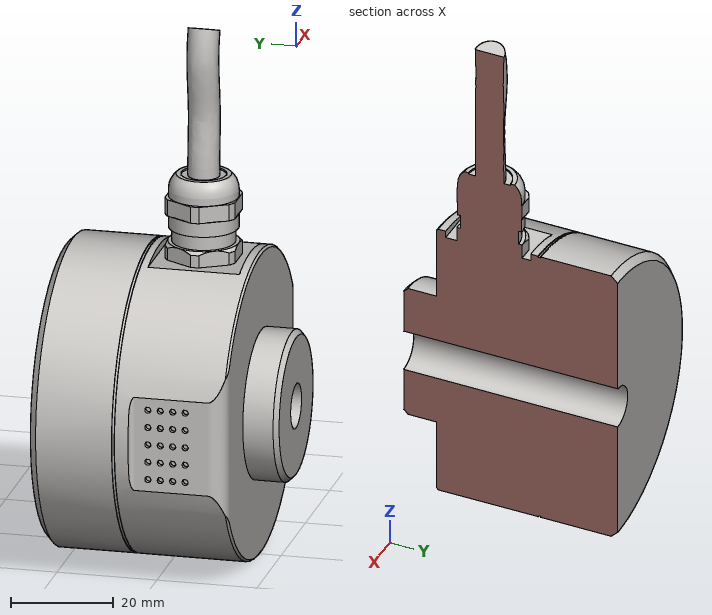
import cadquery as cq
import math


body_diameter = 62.0
body_radius = body_diameter / 2
body_depth = 39.0
rear_chamfer = 1.4
front_chamfer = 0.4

cover_depth = 16.8
groove_width = 0.5
groove_depth = 0.2

boss_diameter = 30.0
boss_height = 7.0
boss_chamfer = 1.0
bore_diameter = 9.0

flat_distance = 29.5
flat_rear_y = 19.1
flat_rear_radius = 1.0
flat_front_radius = 3.6

vent_diameter = 1.2
vent_depth = 1.0
vent_columns = 4
vent_rows = 5
vent_column_pitch = 2.5
vent_row_pitch = 3.6
vent_center_y = 11.8

seat_front_y = 2.0
seat_length = 18.3
gland_y = 11.5
hex_across_flats = 14
hex_corner_diameter = 15.3
base_hex_height = 3.1
base_hex_chamfer = 0.6
neck_diameter = 12.5
neck_height = 2.9
collar_diameter = 13.8
collar_height = 3.0
cap_hex_height = 3.3
cap_rim_height = 1.4
dome_height = 3.0
dome_top_diameter = 10.8
recess_diameter = 9.0
recess_depth = 0.3

neck_z = flat_distance + base_hex_height
collar_z = neck_z + neck_height
cap_hex_z = collar_z + collar_height
cap_rim_z = cap_hex_z + cap_hex_height
dome_z = cap_rim_z + cap_rim_height
gland_top_z = dome_z + dome_height

cable_diameter = 6.3
cable_straight = 1.9
cable_tip_z = 77.0
cable_end_tilt = 20
cable_right_bend = (0.4, 10.8)
cable_left_bend = (-0.8, 22.1)
cable_end_x = 0.2


def y_cylinder(diameter, y_start, length):
    """Cylinder on the body axis, running from y_start toward +Y."""
    return cq.Workplane("XZ", origin=(0, y_start, 0)).circle(diameter / 2).extrude(-length)


def z_cylinder(diameter, z_start, height):
    """Cylinder on the gland axis, running from z_start upward."""
    return cq.Workplane("XY", origin=(0, gland_y, z_start)).circle(diameter / 2).extrude(height)


def make_housing():
    body = y_cylinder(body_diameter, 0, body_depth)
    body = body.faces(">Y").chamfer(rear_chamfer)
    body = body.faces("<Y").chamfer(front_chamfer)

    boss = y_cylinder(boss_diameter, -boss_height, boss_height)
    boss = boss.faces("<Y").chamfer(boss_chamfer)

    groove_y = body_depth - cover_depth - groove_width / 2
    groove = y_cylinder(body_diameter, groove_y, groove_width)
    groove = groove.cut(y_cylinder(body_diameter - 2 * groove_depth, groove_y, groove_width))
    return body.cut(groove).union(boss)


def make_flat_cutter():
    """Material removed at +X: a flat with a concave rear corner and a rounded front edge."""
    diagonal = math.sqrt(0.5)
    rear_center = (flat_distance + flat_rear_radius, flat_rear_y - flat_rear_radius)
    rear_middle = (
        rear_center[0] - flat_rear_radius * diagonal,
        rear_center[1] + flat_rear_radius * diagonal,
    )
    front_center = (flat_distance - flat_front_radius, flat_front_radius)
    front_middle = (
        front_center[0] + flat_front_radius * diagonal,
        front_center[1] - flat_front_radius * diagonal,
    )
    return (
        cq.Workplane("XY")
        .moveTo(body_radius, flat_rear_y)
        .lineTo(rear_center[0], flat_rear_y)
        .threePointArc(rear_middle, (flat_distance, rear_center[1]))
        .lineTo(flat_distance, flat_front_radius)
        .threePointArc(front_middle, (front_center[0], 0))
        .lineTo(body_radius, 0)
        .close()
        .extrude(body_radius, both=True)
    )


def make_vents():
    return (
        cq.Workplane("YZ", origin=(-flat_distance, vent_center_y, 0))
        .rarray(vent_column_pitch, vent_row_pitch, vent_columns, vent_rows)
        .circle(vent_diameter / 2)
        .extrude(vent_depth)
    )


def make_seat_cutter():
    """Rectangular seat milled into the top of the body for the gland."""
    seat_depth = body_radius - flat_distance
    seat = cq.Workplane("XY").box(body_diameter, seat_length, seat_depth, centered=(True, False, False))
    return seat.translate((0, seat_front_y, flat_distance))


def hex_section(z_start, height, top_chamfer=0):
    """Hexagon with corners along X, its corners turned down to a round blank."""
    circumscribed = hex_across_flats / math.cos(math.radians(30))
    hexagon = cq.Workplane("XY", origin=(0, gland_y, z_start)).polygon(6, circumscribed).extrude(height)
    blank = z_cylinder(hex_corner_diameter, z_start, height)
    if top_chamfer:
        blank = blank.faces(">Z").chamfer(top_chamfer)
    return hexagon.intersect(blank)


def make_dome(z_start):
    """Dome that leaves the rim vertically and ends at a flat top with a shallow recess."""
    rim_radius = collar_diameter / 2
    top_radius = dome_top_diameter / 2
    dome = (
        cq.Workplane("XZ")
        .moveTo(0, -cap_rim_height)
        .lineTo(rim_radius, -cap_rim_height)
        .lineTo(rim_radius, 0)
        .tangentArcPoint((top_radius, dome_height), relative=False)
        .lineTo(0, dome_height)
        .close()
        .revolve(360, (0, 0, 0), (0, 1, 0))
        .translate((0, gland_y, z_start))
    )
    recess = z_cylinder(recess_diameter, z_start + dome_height - recess_depth, recess_depth)
    return dome.cut(recess)


def make_gland():
    gland = hex_section(flat_distance, base_hex_height, base_hex_chamfer)
    gland = gland.union(z_cylinder(neck_diameter, neck_z, neck_height))
    gland = gland.union(z_cylinder(collar_diameter, collar_z, collar_height))
    gland = gland.union(hex_section(cap_hex_z, cap_hex_height))
    return gland.union(make_dome(dome_z))


def make_cable():
    """Round cable: a short straight length, then a gentle S-bend in the XZ plane."""
    base_z = gland_top_z - recess_depth
    bend_z = gland_top_z + cable_straight
    tilt = math.radians(cable_end_tilt)
    end_z = cable_tip_z - cable_diameter / 2 * math.sin(tilt)
    straight = z_cylinder(cable_diameter, base_z, bend_z - base_z)

    path = cq.Workplane("XZ", origin=(0, gland_y, bend_z)).spline(
        [(0, 0), cable_right_bend, cable_left_bend, (cable_end_x, end_z - bend_z)],
        tangents=[(0, 1), (math.sin(tilt), math.cos(tilt))],
    )
    bend = cq.Workplane("XY", origin=(0, gland_y, bend_z)).circle(cable_diameter / 2).sweep(path)
    return straight.union(bend)


flat_cutter = make_flat_cutter()
housing = make_housing()
housing = housing.cut(flat_cutter).cut(flat_cutter.mirror("YZ"))
housing = housing.cut(make_vents()).cut(make_seat_cutter())
housing = housing.cut(y_cylinder(bore_diameter, -boss_height, boss_height + body_depth))

result = housing.union(make_gland()).union(make_cable())